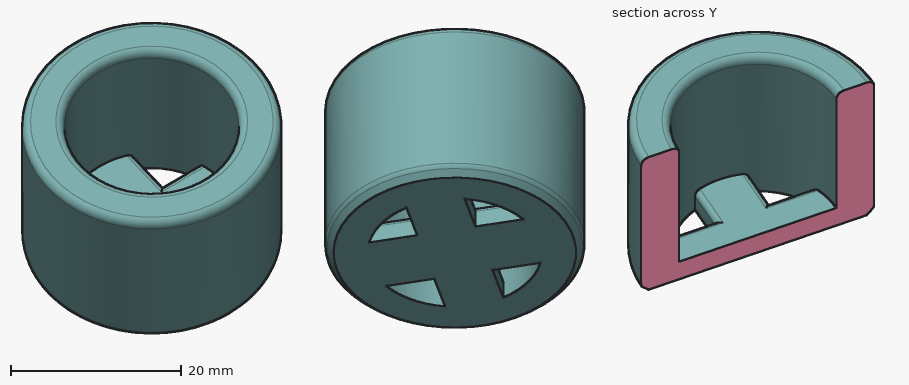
import cadquery as cq

outer_diameter = 30.5
bore_diameter = 20.5
height = 22.0
rim_radius = 1.0
base_chamfer = 1.0
base_blend_radius = 0.85

bar_width_x = 7.05
bar_width_y = 8.5
bar_thickness = 3.0
bar_edge_radius = 0.73
bar_length = (outer_diameter + bore_diameter) / 2


def make_sleeve():
    """Tube with rounded top rims and a softened chamfer round the base."""
    body = cq.Workplane("XY").circle(outer_diameter / 2).extrude(height)
    body = body.faces("<Z").edges().chamfer(base_chamfer)
    chamfer_top = cq.selectors.BoxSelector(
        (-outer_diameter, -outer_diameter, base_chamfer / 2),
        (outer_diameter, outer_diameter, base_chamfer * 2),
        boundingbox=True,
    )
    body = body.edges(chamfer_top).fillet(base_blend_radius)
    body = body.faces(">Z").workplane().hole(bore_diameter)
    return body.faces(">Z").edges().fillet(rim_radius)


def make_cross():
    """Two crossing bars, with rounded upper edges."""
    bar_along_x = cq.Workplane("XY").rect(bar_length, bar_width_y).extrude(bar_thickness)
    bar_along_y = cq.Workplane("XY").rect(bar_width_x, bar_length).extrude(bar_thickness)
    cross = bar_along_x.union(bar_along_y).clean()
    return cross.faces(">Z").edges().fillet(bar_edge_radius)


result = make_sleeve().union(make_cross())